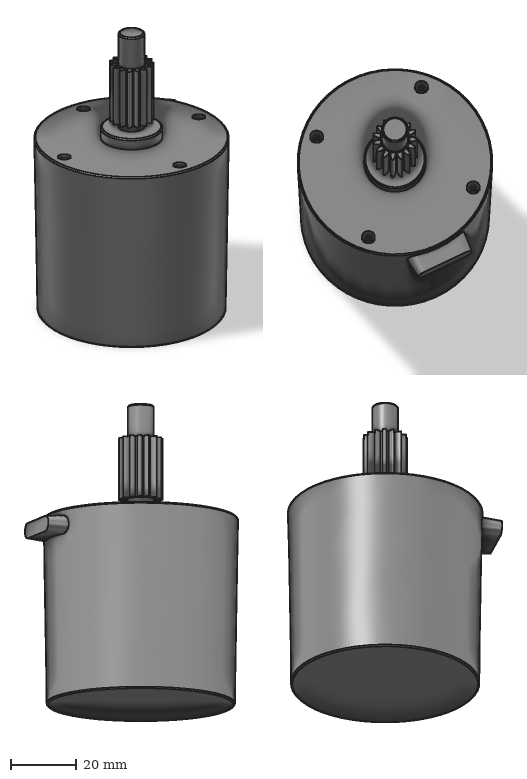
import cadquery as cq
import math

top_diameter = 59.9
base_diameter = 57.9
can_height = 58.0
edge_chamfer = 0.5

collar_diameter = 19.0
collar_height = 3.5
shaft_diameter = 8.0
shaft_end = 93.25

hole_diameter = 4.0
hole_circle_radius = 25.4
hole_depth = 10.0
hole_count = 4
drill_point_angle = 118

outlet_angle = 135
outlet_face_radius = 34.8
outlet_face_width = 18.4
outlet_face_thickness = 4.8
outlet_root_radius = 24.2
outlet_draft = 5
outlet_height = 53.0

tooth_count = 15
tip_radius = 6.8
tip_rounding = 0.2
pitch_radius = 6.0
root_radius = 4.9
tip_tooth_width = 0.6
pitch_tooth_width = 1.1
root_tooth_width = 1.5
pinion_bore = shaft_diameter
pinion_base = 64.0
pinion_length = 19.0
first_tooth_angle = -90


def make_can():
    """Tapered drum with broken top and bottom edges."""
    can = cq.Workplane("XY").circle(base_diameter / 2).workplane(offset=can_height)
    can = can.circle(top_diameter / 2).loft(ruled=True)
    return can.faces("<Z or >Z").edges().chamfer(edge_chamfer)


def make_collar():
    collar = cq.Workplane("XY").workplane(offset=can_height)
    collar = collar.circle(collar_diameter / 2).extrude(collar_height)
    return collar.faces(">Z").edges().chamfer(edge_chamfer)


def make_shaft():
    collar_top = can_height + collar_height
    shaft = cq.Workplane("XY").workplane(offset=collar_top)
    shaft = shaft.circle(shaft_diameter / 2).extrude(shaft_end - collar_top)
    return shaft.faces(">Z").edges().chamfer(edge_chamfer)


def make_cable_outlet():
    """Stadium boss drawn on its outer face and widening inward into the can."""
    angle = math.radians(outlet_angle)
    outward = (math.cos(angle), math.sin(angle), 0)
    face_center = (outlet_face_radius * outward[0], outlet_face_radius * outward[1], outlet_height)
    sideways = (-outward[1], outward[0], 0)
    inward = (-outward[0], -outward[1], 0)
    outer_face = cq.Workplane(cq.Plane(origin=face_center, xDir=sideways, normal=inward))
    outline = outer_face.slot2D(outlet_face_width, outlet_face_thickness)
    return outline.extrude(outlet_face_radius - outlet_root_radius, taper=-outlet_draft)


def make_mounting_holes():
    """Drills pointing down from the top of the can."""
    hole_radius = hole_diameter / 2
    point_length = hole_radius / math.tan(math.radians(drill_point_angle / 2))
    drill = (
        cq.Workplane("XZ")
        .moveTo(0, can_height)
        .lineTo(hole_radius, can_height)
        .lineTo(hole_radius, can_height - hole_depth)
        .lineTo(0, can_height - hole_depth - point_length)
        .close()
        .revolve(360, (0, 0, 0), (0, 1, 0))
    )
    places = cq.Workplane("XY").polarArray(hole_circle_radius, 0, 360, hole_count)
    return places.eachpoint(lambda place: drill.val().moved(place), combine=False)


def make_motor():
    motor = make_can().union(make_cable_outlet()).union(make_collar()).union(make_shaft())
    for drill in make_mounting_holes().vals():
        motor = motor.cut(cq.Workplane(drill))
    return motor


def make_tooth():
    """One tooth along +X with curved flanks and a rounded tip, rooted inside the gear core."""
    inner_radius = (root_radius + pinion_bore / 2) / 2
    flank_end_radius = tip_radius - tip_rounding
    return (
        cq.Workplane("XY")
        .workplane(offset=pinion_base)
        .moveTo(inner_radius, -root_tooth_width / 2)
        .lineTo(root_radius, -root_tooth_width / 2)
        .threePointArc((pitch_radius, -pitch_tooth_width / 2), (flank_end_radius, -tip_tooth_width / 2))
        .threePointArc((tip_radius, 0), (flank_end_radius, tip_tooth_width / 2))
        .threePointArc((pitch_radius, pitch_tooth_width / 2), (root_radius, root_tooth_width / 2))
        .lineTo(inner_radius, root_tooth_width / 2)
        .close()
        .extrude(pinion_length)
    )


def make_bore():
    """Pinion bore flaring at both ends."""
    bore_radius = pinion_bore / 2
    flare_radius = bore_radius + edge_chamfer
    pinion_top = pinion_base + pinion_length
    return (
        cq.Workplane("XZ")
        .moveTo(0, pinion_base)
        .lineTo(flare_radius, pinion_base)
        .lineTo(bore_radius, pinion_base + edge_chamfer)
        .lineTo(bore_radius, pinion_top - edge_chamfer)
        .lineTo(flare_radius, pinion_top)
        .lineTo(0, pinion_top)
        .close()
        .revolve(360, (0, 0, 0), (0, 1, 0))
    )


def make_pinion():
    """Spur gear core with its ring of teeth, bored to fit the shaft."""
    pinion = cq.Workplane("XY").workplane(offset=pinion_base).circle(root_radius).extrude(pinion_length)
    tooth = make_tooth()
    for index in range(tooth_count):
        angle = first_tooth_angle + index * 360 / tooth_count
        pinion = pinion.union(tooth.rotate((0, 0, 0), (0, 0, 1), angle))
    return pinion.cut(make_bore())


motor = make_motor()
pinion = make_pinion()

result = cq.Compound.makeCompound([motor.val(), pinion.val()])